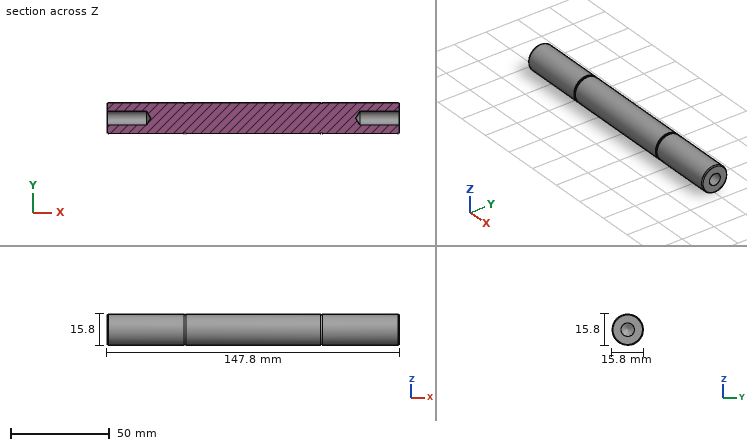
import cadquery as cq
import math

length = 147.8
diameter = 15.8
radius = diameter / 2

chamfer_length = 0.7
chamfer_depth = 0.5

groove_width = 1.0
groove_depth = 0.3
groove_from_end = 39.3

hole_diameter = 6.8
hole_depth = 20.0
drill_point_angle = 118.0

end_x = length / 2
end_radius = radius - chamfer_depth


def bar():
    """Plain round bar with both ends chamfered."""
    profile = [
        (-end_x, 0),
        (-end_x, end_radius),
        (-end_x + chamfer_length, radius),
        (end_x - chamfer_length, radius),
        (end_x, end_radius),
        (end_x, 0),
    ]
    return cq.Workplane("XY").polyline(profile).close().revolve(360, (0, 0, 0), (1, 0, 0))


def groove_ring():
    """Ring to cut away for the groove near the +X end."""
    start_x = end_x - groove_from_end - groove_width / 2
    return (
        cq.Workplane("YZ", origin=(start_x, 0, 0))
        .circle(radius + groove_depth)
        .circle(radius - groove_depth)
        .extrude(groove_width)
    )


def drilled_hole():
    """Hole with a conical bottom, entering the +X end face."""
    hole_radius = hole_diameter / 2
    bottom_x = end_x - hole_depth
    point_length = hole_radius / math.tan(math.radians(drill_point_angle / 2))
    profile = [
        (end_x, 0),
        (end_x, hole_radius),
        (bottom_x, hole_radius),
        (bottom_x - point_length, 0),
    ]
    return cq.Workplane("XY").polyline(profile).close().revolve(360, (0, 0, 0), (1, 0, 0))


result = bar()
for cutter in (groove_ring(), drilled_hole()):
    result = result.cut(cutter).cut(cutter.mirror("YZ"))